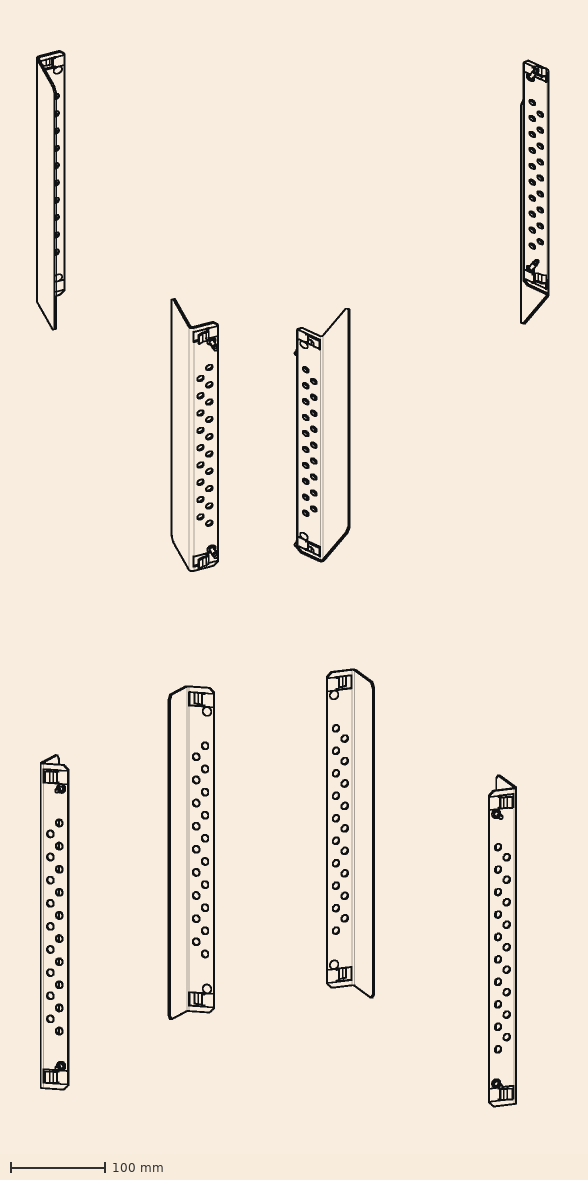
import cadquery as cq
import math

overall_width = 483.4
bracket_height = 351.0
flange_depth = 32.0

sheet = 2.0
bend_radius = 4.0
plate_width = 55.0
corner_chamfer = 5.0

pin_reach = 13.7
pin_height = 150.0
pin_edge_distance = 7.6
foot_diameter = 9.6
collar_diameter = 5.5
collar_length = 1.0
shank_diameter = 5.0
point_diameter = 4.0
point_length = 3.0
pin_taper = 1.5

hole_diameter = 7.5
hole_pitch = 25.0
long_row_count = 10
long_row_edge_distance = 10.0
row_spacing = 10.0

notch_end_margin = 6.0
notch_height = 14.5

clip_root_depth = 10.5
neck_length = 2.5
leaf_height = 12.0
leaf_thickness = 1.5
leaf_start_depth = 11.8
step_out = 2.6
ramp_length = 3.2
leaf_flat_length = 4.0
tip_length = 4.6
leaf_slope = math.radians(24)

outer_x = overall_width / 2 - pin_reach
front_y = 0.0
back_y = front_y + flange_depth
top_z = bracket_height / 2
pin_y = back_y - pin_edge_distance
bend_end_y = front_y + bend_radius
notch_top_z = top_z - notch_end_margin
notch_middle_z = notch_top_z - notch_height / 2
root_y = back_y - clip_root_depth


def box_between(x0, x1, y0, y1, z0, z1):
    """Box spanning two opposite corners."""
    return cq.Workplane("XY").box(x1 - x0, y1 - y0, z1 - z0, centered=False).translate((x0, y0, z0))


def cylinder_along_x(x0, length, diameter, y, z):
    """Solid cylinder that runs toward +X."""
    return cq.Workplane("YZ", origin=(x0, y, z)).circle(diameter / 2).extrude(length)


def make_bracket():
    """Left bracket with its notches, pin foot holes and two rows of round holes."""
    x0 = -outer_x
    bracket = (
        cq.Workplane("XY", origin=(0, 0, -top_z))
        .moveTo(x0, back_y)
        .lineTo(x0, bend_end_y)
        .radiusArc((x0 + bend_radius, front_y), -bend_radius)
        .lineTo(x0 + plate_width, front_y)
        .lineTo(x0 + plate_width, front_y + sheet)
        .lineTo(x0 + bend_radius, front_y + sheet)
        .radiusArc((x0 + sheet, bend_end_y), bend_radius - sheet)
        .lineTo(x0 + sheet, back_y)
        .close()
        .extrude(bracket_height)
    )
    bracket = bracket.edges("|Y and >X").chamfer(corner_chamfer)
    bracket = bracket.edges("|X and >Y").chamfer(corner_chamfer)

    long_row_y = back_y - long_row_edge_distance
    rows = ((long_row_y, long_row_count), (long_row_y - row_spacing, long_row_count - 1))
    for row_y, count in rows:
        for i in range(count):
            hole_z = (i - (count - 1) / 2) * hole_pitch
            bracket = bracket.cut(cylinder_along_x(x0, sheet, hole_diameter, row_y, hole_z))

    for end in (-1, 1):
        bracket = bracket.cut(cylinder_along_x(x0, sheet, foot_diameter, pin_y, end * pin_height))
        notch = box_between(x0, x0 + sheet, bend_end_y, back_y, notch_top_z - notch_height, notch_top_z)
        bracket = bracket.cut(notch if end > 0 else notch.mirror("XY"))
    return bracket


def make_pin():
    """Upper left pin: a solid of revolution about an X axis."""
    x0 = -outer_x
    point_x = x0 - pin_reach + point_length
    outline = (
        (x0 + sheet, 0),
        (x0 + sheet, foot_diameter / 2),
        (x0, foot_diameter / 2),
        (x0, collar_diameter / 2),
        (x0 - collar_length, collar_diameter / 2),
        (x0 - collar_length, shank_diameter / 2),
        (point_x + pin_taper, shank_diameter / 2),
        (point_x, point_diameter / 2),
        (x0 - pin_reach, point_diameter / 2),
        (x0 - pin_reach, 0),
    )
    pin = cq.Workplane("XY").polyline(outline).close().revolve(360, (0, 0, 0), (1, 0, 0))
    return pin.translate((0, pin_y, pin_height))


def make_clip():
    """Upper left clip: root and neck flush with both flange faces, then the leaf outside them."""
    x0 = -outer_x
    neck_y = root_y - neck_length
    root = box_between(x0, x0 + sheet, root_y, back_y, notch_top_z - notch_height, notch_top_z)

    start_y = back_y - leaf_start_depth
    start_x = x0 - step_out
    flat_x = start_x - ramp_length * math.tan(leaf_slope)
    flat_start_y = start_y - ramp_length
    flat_end_y = flat_start_y - leaf_flat_length
    tip_x = flat_x - tip_length * math.tan(leaf_slope)
    tip_y = flat_end_y - tip_length

    inner_flat_x = flat_x + leaf_thickness
    bend_shift = leaf_thickness * math.tan(leaf_slope / 2)
    inner_tip_x = tip_x + leaf_thickness * math.cos(leaf_slope)
    inner_tip_y = tip_y - leaf_thickness * math.sin(leaf_slope)
    inner_ramp_end_y = flat_start_y - bend_shift
    inner_neck_x = inner_flat_x + (neck_y - inner_ramp_end_y) * math.tan(leaf_slope)

    leaf = (
        cq.Workplane("XY", origin=(0, 0, notch_middle_z))
        .moveTo(x0 + sheet, root_y)
        .lineTo(x0, root_y)
        .lineTo(x0, start_y)
        .lineTo(start_x, start_y)
        .lineTo(flat_x, flat_start_y)
        .lineTo(flat_x, flat_end_y)
        .lineTo(tip_x, tip_y)
        .lineTo(inner_tip_x, inner_tip_y)
        .lineTo(inner_flat_x, flat_end_y - bend_shift)
        .lineTo(inner_flat_x, inner_ramp_end_y)
        .lineTo(inner_neck_x, neck_y)
        .lineTo(x0 + sheet, neck_y)
        .close()
        .extrude(leaf_height / 2, both=True)
    )
    return root.union(leaf)


def four_corners(body):
    """Upper left body and its copies at the other three corners."""
    left = [body, body.mirror("XY")]
    return left + [copy.mirror("YZ") for copy in left]


bracket = make_bracket()
brackets = [bracket, bracket.mirror("YZ")]
pins = four_corners(make_pin())
clips = four_corners(make_clip())
result = cq.Compound.makeCompound([body.val() for body in brackets + pins + clips])